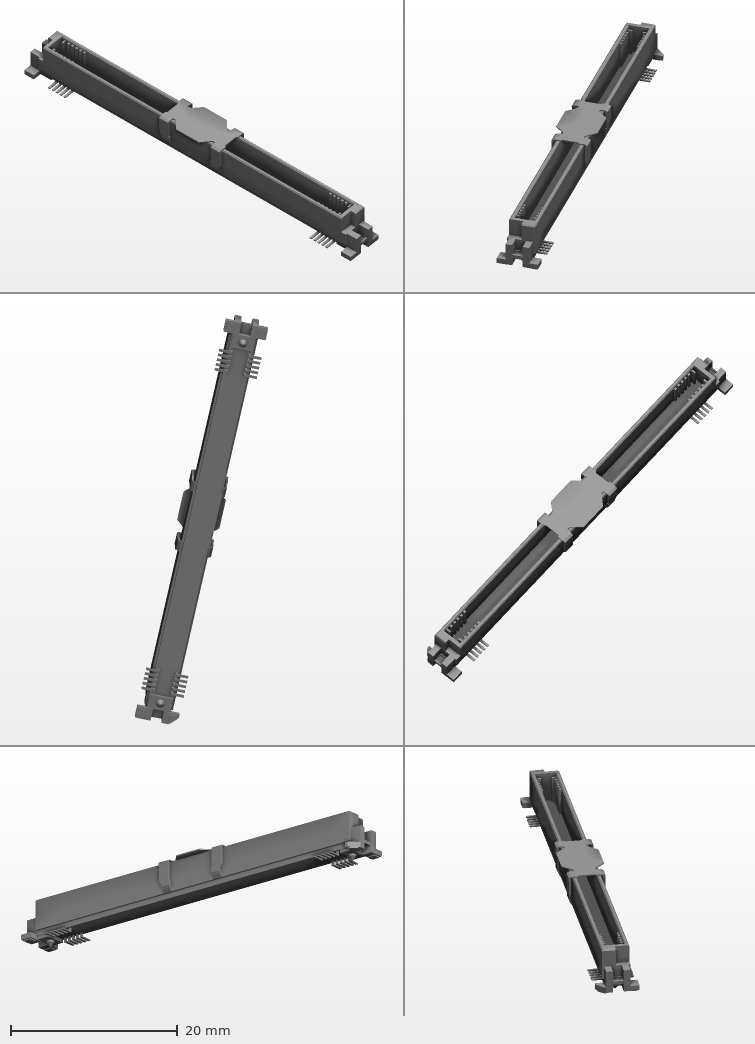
import cadquery as cq


overall_length = 51.3
overall_width = 5.2
housing_length = 48.35
housing_width = 3.5
housing_top = 4.45
rim_chamfer = 0.15
wall_bottom = 0.55
base_width = 3.0
base_bottom = -0.1
cavity_length = 46.0
cavity_width = 2.45
cavity_rim_chamfer = 0.15
cavity_floor = 0.75

notch_end_x = 23.45
notch_side_y = 0.05
notch_floor = 2.25

rib_outer_x = 22.6
rib_length = 0.2
rib_depth = 0.55

post_inner_y = 0.65
post_bottom = -0.55
foot_top = 0.1
foot_bottom = -0.55
pad_bottom = -0.7
pad_inset = 0.2
foot_corner_cut = 1.1
bridge_inset = 0.2
bridge_bottom = 0.35
bridge_top = 0.75
bridge_pocket_length = 0.9
bridge_pocket_width = 1.25
bridge_pocket_depth = 0.2
bridge_pocket_radius = 0.3

peg_x = 23.25
peg_block_inner_x = 22.45
peg_block_width = 2.75
peg_block_bottom = -0.5
peg_diameter = 1.0
peg_cone_top = -0.75
peg_tip = -1.25
peg_tip_diameter = 0.2

contact_count = 5
contact_pitch = 0.6
contact_group_x = 20.6
contact_width = 0.3
contact_depth = 0.25
contact_top = 4.1
lead_bottom = -0.65
lead_thickness = 0.15

cap_thickness = 0.15
cap_top = housing_top + cap_thickness
cap_half_length = 4.75
cap_end_x = 4.55
cap_end_half_width = 1.0
cap_end_corner_y = 1.15
arm_inner_x = 3.35
arm_fold_y = 1.95
relief_y = 1.35
relief_x = 2.9
plate_half_length = 1.8
leg_top_y = 2.25
leg_fold_drop = 0.15
leg_hook_y = 2.15
leg_taper_top = 2.1
leg_taper_bottom = 1.5
leg_bottom = wall_bottom
leg_hook_z = 1.35
leg_heel_y = 2.0
leg_heel_z = 1.0
leg_tip_outer_x = 4.45
leg_tip_inner_x = 3.25


def block(x_range, y_range, z_range):
    """Axis-aligned block between two limits on each axis, given in any order."""
    (x0, x1), (y0, y1), (z0, z1) = sorted(x_range), sorted(y_range), sorted(z_range)
    return cq.Workplane("XY").box(x1 - x0, y1 - y0, z1 - z0, centered=False).translate((x0, y0, z0))


def make_housing():
    wall = (
        cq.Workplane("XY", origin=(0, 0, wall_bottom))
        .rect(housing_length, housing_width)
        .extrude(housing_top - wall_bottom)
        .faces(">Z")
        .edges()
        .chamfer(rim_chamfer)
    )
    base = (
        cq.Workplane("XY", origin=(0, 0, base_bottom))
        .rect(housing_length, base_width)
        .extrude(wall_bottom - base_bottom)
    )
    cavity_side = cavity_width / 2
    chamfer_bottom = housing_top - cavity_rim_chamfer
    cavity = (
        cq.Workplane("YZ", origin=(-cavity_length / 2, 0, 0))
        .polyline(
            [
                (-cavity_side, cavity_floor),
                (cavity_side, cavity_floor),
                (cavity_side, chamfer_bottom),
                (cavity_side + cavity_rim_chamfer, housing_top),
                (-cavity_side - cavity_rim_chamfer, housing_top),
                (-cavity_side, chamfer_bottom),
            ]
        )
        .close()
        .extrude(cavity_length)
    )
    housing = wall.union(base).cut(cavity)
    for end in (-1, 1):
        notch = block(
            (end * notch_end_x, end * housing_length / 2),
            (-housing_width / 2, notch_side_y),
            (notch_floor, housing_top),
        )
        housing = housing.cut(notch)
    return housing


def make_rib(end, side):
    wall_y = cavity_width / 2
    return block(
        (end * rib_outer_x, end * (rib_outer_x - rib_length)),
        (side * wall_y, side * (wall_y - rib_depth)),
        (cavity_floor, contact_top),
    )


def make_post(end, side):
    """Solder post with an outward foot and a thin pad below the foot."""
    inner_x = housing_length / 2
    outer_x = overall_length / 2
    post_outer_y = base_width / 2
    foot_end_y = overall_width / 2
    post = block(
        (end * inner_x, end * outer_x),
        (side * post_inner_y, side * post_outer_y),
        (post_bottom, notch_floor),
    )
    foot = block(
        (end * inner_x, end * outer_x),
        (side * post_outer_y, side * foot_end_y),
        (foot_bottom, foot_top),
    )
    pad = block(
        (end * (inner_x + pad_inset), end * (outer_x - pad_inset)),
        (side * post_outer_y, side * (foot_end_y - pad_inset)),
        (pad_bottom, foot_bottom),
    )
    return post.union(foot).union(pad)


def make_bridge(end):
    """Low web joining the two posts, with a shallow rounded pocket on top."""
    inner_x = housing_length / 2
    outer_x = overall_length / 2 - bridge_inset
    bridge = block(
        (end * inner_x, end * outer_x),
        (-post_inner_y, post_inner_y),
        (bridge_bottom, bridge_top),
    )
    pocket = (
        cq.Workplane("XY", origin=(end * (inner_x + outer_x) / 2, 0, bridge_top - bridge_pocket_depth))
        .rect(bridge_pocket_length, bridge_pocket_width)
        .extrude(bridge_pocket_depth)
        .edges("|Z")
        .fillet(bridge_pocket_radius)
    )
    return bridge.cut(pocket)


def make_foot_corner_cut():
    """Diagonal cut that marks the first-contact corner at -X, +Y."""
    corner_x = -overall_length / 2
    corner_y = overall_width / 2
    return (
        cq.Workplane("XY", origin=(0, 0, pad_bottom))
        .moveTo(corner_x, corner_y)
        .lineTo(corner_x + foot_corner_cut, corner_y)
        .lineTo(corner_x, corner_y - foot_corner_cut)
        .close()
        .extrude(foot_top - pad_bottom)
    )


def make_peg(end):
    """Locating peg with a conical tip below a rectangular block."""
    peg_radius = peg_diameter / 2
    support = block(
        (end * peg_block_inner_x, end * housing_length / 2),
        (-peg_block_width / 2, peg_block_width / 2),
        (peg_block_bottom, base_bottom),
    )
    peg = (
        cq.Workplane("XZ")
        .moveTo(0, peg_block_bottom)
        .lineTo(peg_radius, peg_block_bottom)
        .lineTo(peg_radius, peg_cone_top)
        .lineTo(peg_tip_diameter / 2, peg_tip)
        .lineTo(0, peg_tip)
        .close()
        .revolve(360, (0, 0, 0), (0, 1, 0))
        .translate((end * peg_x, 0, 0))
    )
    return support.union(peg)


def make_contact(x, side):
    """Upright contact on the cavity wall, running down to an outward solder lead."""
    x_range = (x - contact_width / 2, x + contact_width / 2)
    outer_y = cavity_width / 2
    inner_y = outer_y - contact_depth
    blade = block(x_range, (side * inner_y, side * outer_y), (lead_bottom, contact_top))
    lead = block(
        x_range,
        (side * inner_y, side * overall_width / 2),
        (lead_bottom, lead_bottom + lead_thickness),
    )
    return blade.union(lead)


def make_cap_plate():
    """Flat pick-up plate, a quarter outline mirrored about both axes."""
    quarter = (
        cq.Workplane("XY", origin=(0, 0, housing_top))
        .polyline(
            [
                (0, 0),
                (cap_end_x, 0),
                (cap_end_x, cap_end_half_width),
                (cap_half_length, cap_end_corner_y),
                (cap_half_length, arm_fold_y),
                (arm_inner_x, arm_fold_y),
                (arm_inner_x, relief_y),
                (relief_x, relief_y),
                (plate_half_length, overall_width / 2),
                (0, overall_width / 2),
            ]
        )
        .close()
        .extrude(cap_thickness)
    )
    half = quarter.union(quarter.mirror("YZ"))
    return half.union(half.mirror("XZ"))


def make_cap_leg():
    """Spring leg at +X, +Y: a bent strip trimmed to its tapered side outline."""
    wall_y = housing_width / 2
    strip = (
        cq.Workplane("YZ")
        .polyline(
            [
                (arm_fold_y, cap_top),
                (leg_top_y, cap_top - leg_fold_drop),
                (leg_hook_y, leg_hook_z),
                (leg_heel_y, leg_heel_z),
                (wall_y, leg_bottom),
                (wall_y, leg_heel_z),
                (arm_fold_y, leg_hook_z),
            ]
        )
        .close()
        .extrude(cap_half_length)
    )
    outline = (
        cq.Workplane("XZ")
        .polyline(
            [
                (arm_inner_x, cap_top),
                (cap_half_length, cap_top),
                (cap_half_length, leg_taper_top),
                (leg_tip_outer_x, leg_taper_bottom),
                (leg_tip_outer_x, leg_bottom),
                (leg_tip_inner_x, leg_bottom),
                (leg_tip_inner_x, leg_taper_top),
                (arm_inner_x, leg_taper_top),
            ]
        )
        .close()
        .extrude(-leg_top_y)
    )
    return strip.intersect(outline)


result = make_housing()

for end in (-1, 1):
    result = result.union(make_bridge(end)).union(make_peg(end))
    for side in (-1, 1):
        result = result.union(make_rib(end, side)).union(make_post(end, side))
        for index in range(contact_count):
            offset = (index - (contact_count - 1) / 2) * contact_pitch
            result = result.union(make_contact(end * contact_group_x + offset, side))

result = result.cut(make_foot_corner_cut())

result = result.union(make_cap_plate())
leg_pair = make_cap_leg()
leg_pair = leg_pair.union(leg_pair.mirror("YZ"))
result = result.union(leg_pair).union(leg_pair.mirror("XZ"))